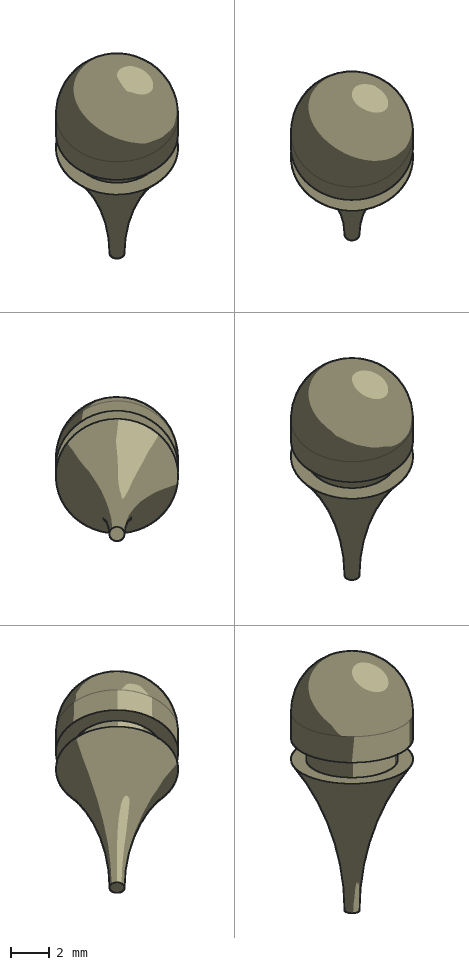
import cadquery as cq
import math

total_height = 14.5
head_diameter = 6.4
neck_diameter = 4.8
tip_diameter = 0.8
band_height = 1.5
neck_height = 1.2

head_radius = head_diameter / 2
neck_radius = neck_diameter / 2
tip_radius = tip_diameter / 2

dome_base = total_height - head_radius
band_base = dome_base - band_height
stem_top = band_base - neck_height

flare = head_radius - tip_radius
flank_radius = (flare**2 + stem_top**2) / (2 * flare)
half_sweep = math.asin(stem_top / flank_radius) / 2
flank_middle = (
    tip_radius + flank_radius * (1 - math.cos(half_sweep)),
    flank_radius * math.sin(half_sweep),
)

dome_middle = (
    head_radius * math.cos(math.pi / 4),
    dome_base + head_radius * math.sin(math.pi / 4),
)

profile = (
    cq.Workplane("XZ")
    .moveTo(0, 0)
    .lineTo(tip_radius, 0)
    .threePointArc(flank_middle, (head_radius, stem_top))
    .lineTo(neck_radius, stem_top)
    .lineTo(neck_radius, band_base)
    .lineTo(head_radius, band_base)
    .lineTo(head_radius, dome_base)
    .threePointArc(dome_middle, (0, total_height))
    .close()
)

result = profile.revolve(360, (0, 0, 0), (0, 1, 0))